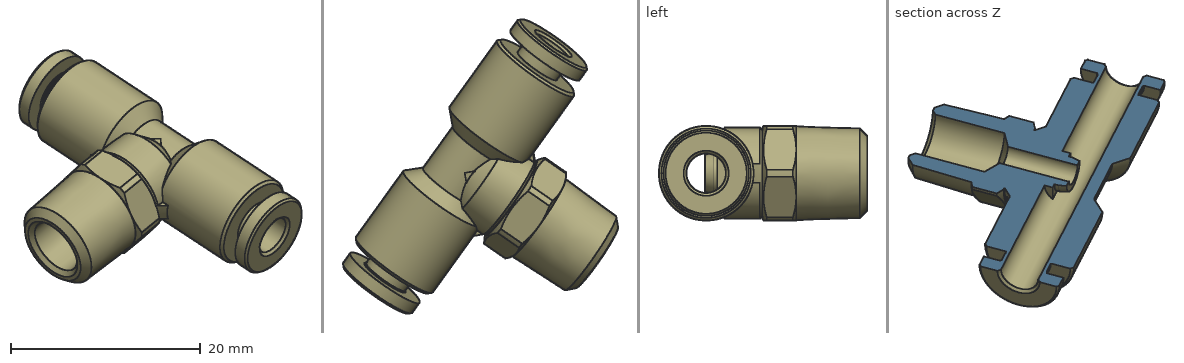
import cadquery as cq
import math


overall_length = 32.4
overall_depth = 22.0
collar_diameter = 9.0
collar_chamfer = 0.23
collar_inner_end = 14.65
sleeve_diameter = 5.1
sleeve_root_chamfer = 0.13
body_diameter = 10.0
body_end = 13.22
body_chamfer = 0.3
neck_diameter = 7.03
neck_half_length = 2.72
body_inner_end = neck_half_length + (body_diameter - neck_diameter) / 2

tube_bore_diameter = 4.15
mouth_diameter = 4.75
passage_floor_y = -1.17

boss_diameter = 9.65
boss_top_y = -1.98
boss_bottom_y = -5.65
tab_width = 2.05
wedge_tip_y = 0.03

hex_across_flats = 10.0
hex_corner_diameter = 11.18
hex_top_y = -5.93
hex_bottom_y = -9.5
hex_top_face_diameter = 9.6
hex_bottom_face_diameter = hex_across_flats
hex_bevel_angle = 30.0

branch_end_y = body_diameter / 2 - overall_depth
thread_top_diameter = 9.95
thread_end_diameter = 9.53
thread_chamfer = 0.8

bore_diameter = 6.0
bore_mouth_chamfer = 0.5
bore_bottom_y = -8.75
bore_cone_half_angle = 59.0
stem_bore_diameter = 2.5
stem_diameter = 4.4
stem_shoulder_y = -0.75
stem_tip_y = 0.13
stem_tip_diameter = 3.95


def revolve_about_y(points):
    """Revolve a closed (radius, y) outline about the Y axis."""
    return cq.Workplane("XY").polyline(points).close().revolve(360, (0, 0, 0), (0, 1, 0))


def revolve_about_x(points):
    """Revolve a closed (x, radius) outline about the X axis."""
    return cq.Workplane("XY").polyline(points).close().revolve(360, (0, 0, 0), (1, 0, 0))


def make_run():
    """Outer shape of the run, mirror-symmetric about the YZ plane."""
    end = overall_length / 2
    collar = collar_diameter / 2
    sleeve = sleeve_diameter / 2
    body = body_diameter / 2
    neck = neck_diameter / 2
    half = revolve_about_x([
        (0, 0),
        (0, neck),
        (neck_half_length, neck),
        (body_inner_end, body),
        (body_end - body_chamfer, body),
        (body_end, body - body_chamfer),
        (body_end, sleeve),
        (collar_inner_end - sleeve_root_chamfer, sleeve),
        (collar_inner_end, sleeve + sleeve_root_chamfer),
        (collar_inner_end, collar),
        (end - collar_chamfer, collar),
        (end, collar - collar_chamfer),
        (end, 0),
    ])
    return half.union(half.mirror("YZ"))


def make_boss():
    """Boss with 45 degree cones at both ends and a tab on each side.

    The lower cone flares outward beneath the tabs until it meets the run.
    """
    radius = boss_diameter / 2
    tab_top_y = -math.sqrt((body_diameter / 2) ** 2 - (tab_width / 2) ** 2)
    flare_radius = radius + tab_top_y - boss_bottom_y
    flared = revolve_about_y([
        (0, boss_top_y + radius),
        (radius, boss_top_y),
        (radius, tab_top_y),
        (flare_radius, tab_top_y),
        (radius + hex_top_y - boss_bottom_y, hex_top_y),
        (0, hex_top_y),
    ])
    core = cq.Workplane("XZ").circle(radius).extrude(overall_length / 2, both=True)
    tab_strip = cq.Workplane("XY").box(overall_length, overall_length, tab_width)
    return flared.intersect(core.union(tab_strip))


def make_wedges():
    """Pointed flats on the neck above and below, tangent to it and running into the boss."""
    reach = wedge_tip_y - boss_top_y
    return (
        cq.Workplane("XY")
        .polyline([(0, wedge_tip_y), (reach, boss_top_y), (-reach, boss_top_y)])
        .close()
        .extrude(neck_diameter / 2, both=True)
    )


def make_hexagon():
    """Hexagon with truncated corners and beveled ends."""
    height = hex_top_y - hex_bottom_y
    across_corners = hex_across_flats / math.cos(math.pi / 6)
    prism = cq.Workplane("XZ", origin=(0, hex_top_y, 0)).polygon(6, across_corners).extrude(height)
    corner = hex_corner_diameter / 2
    top_face = hex_top_face_diameter / 2
    bottom_face = hex_bottom_face_diameter / 2
    slope = math.tan(math.radians(hex_bevel_angle))
    envelope = revolve_about_y([
        (0, hex_top_y),
        (top_face, hex_top_y),
        (corner, hex_top_y - (corner - top_face) * slope),
        (corner, hex_bottom_y + (corner - bottom_face) * slope),
        (bottom_face, hex_bottom_y),
        (0, hex_bottom_y),
    ])
    return prism.intersect(envelope)


def make_thread():
    """Plain tapered body of the male thread with a chamfered end."""
    end_radius = thread_end_diameter / 2
    return revolve_about_y([
        (0, hex_bottom_y),
        (thread_top_diameter / 2, hex_bottom_y),
        (end_radius, branch_end_y + thread_chamfer),
        (end_radius - thread_chamfer, branch_end_y),
        (0, branch_end_y),
    ])


def make_run_passage():
    """Chamfered tube sockets joined by a passage with a flat floor over the stem."""
    end = overall_length / 2
    bore = tube_bore_diameter / 2
    mouth = mouth_diameter / 2
    straight_end = end - (mouth - bore)
    passage = revolve_about_x([
        (-end, 0),
        (-end, mouth),
        (-straight_end, bore),
        (straight_end, bore),
        (end, mouth),
        (end, 0),
    ])
    floor = cq.Workplane("XY").box(2 * neck_half_length, overall_length, overall_length)
    floor = floor.translate((0, passage_floor_y - overall_length / 2, 0))
    return passage.cut(floor)


def make_stem():
    """Stem with a tapered tip rising from the passage floor."""
    radius = stem_diameter / 2
    return revolve_about_y([
        (0, passage_floor_y),
        (radius, passage_floor_y),
        (radius, stem_shoulder_y),
        (stem_tip_diameter / 2, stem_tip_y),
        (0, stem_tip_y),
    ])


def make_branch_bore():
    """Stepped branch bore with a chamfered mouth and a conical bottom."""
    bore = bore_diameter / 2
    small = stem_bore_diameter / 2
    cone_depth = (bore - small) / math.tan(math.radians(bore_cone_half_angle))
    return revolve_about_y([
        (0, stem_tip_y),
        (small, stem_tip_y),
        (small, bore_bottom_y + cone_depth),
        (bore, bore_bottom_y),
        (bore, branch_end_y + bore_mouth_chamfer),
        (bore + bore_mouth_chamfer, branch_end_y),
        (0, branch_end_y),
    ])


outside = make_run()
for feature in (make_boss(), make_wedges(), make_hexagon(), make_thread()):
    outside = outside.union(feature)

result = outside.cut(make_run_passage()).union(make_stem()).cut(make_branch_bore())